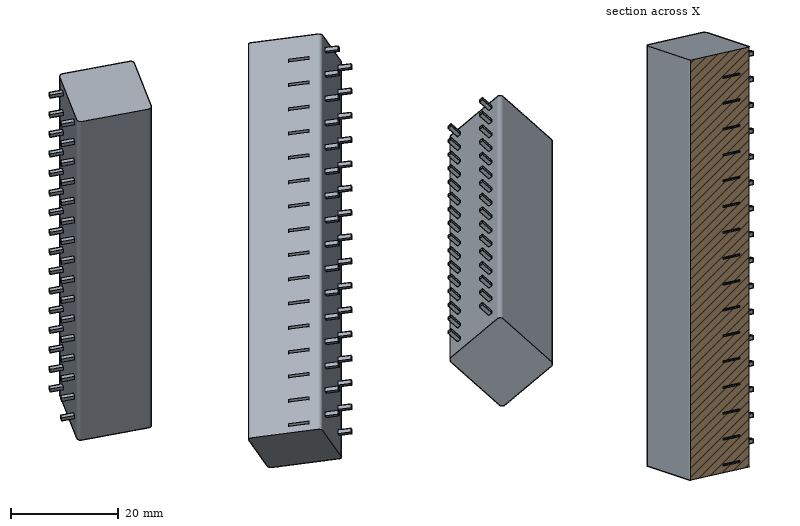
import cadquery as cq

body_width = 13.5
body_height = 81.4
overall_depth = 16.9
pin_length = 2.5
body_depth = overall_depth - pin_length
corner_radius = 0.77

row_count = 16
row_span = 75.05
row_pitch = row_span / (row_count - 1)

pin_size = 0.8
pin_spacing = 8.1
pin_column_shift = 0.12
top_pin_drop = 2.2

slot_length = 4.0
slot_height = 0.53
slot_depth = 0.9
slot_front_gap = 2.45

front_y = -body_depth / 2
left_x = -body_width / 2
top_pin_z = body_height / 2 - top_pin_drop
top_slot_z = top_pin_z - row_pitch / 2


def row_heights(top_z):
    """Centre heights of all rows, from the top one down."""
    return [top_z - row * row_pitch for row in range(row_count)]


def make_body():
    block = cq.Workplane("XY").box(body_width, body_depth, body_height)
    return block.edges("|Z").fillet(corner_radius)


def make_pins():
    columns = [pin_column_shift + side * pin_spacing / 2 for side in (-1, 1)]
    centres = [(x, z) for z in row_heights(top_pin_z) for x in columns]
    front_face = cq.Workplane("XZ", origin=(0, front_y, 0))
    return front_face.pushPoints(centres).rect(pin_size, pin_size).extrude(pin_length)


def make_slots():
    profiles = cq.Workplane("XZ", origin=(left_x, front_y + slot_front_gap, 0))
    for z in row_heights(top_slot_z):
        floor_z = z - slot_height / 2
        profiles = (
            profiles.moveTo(0, floor_z)
            .lineTo(slot_depth, floor_z)
            .lineTo(0, floor_z + slot_height)
            .close()
        )
    return profiles.extrude(-slot_length)


result = make_body().union(make_pins()).cut(make_slots())